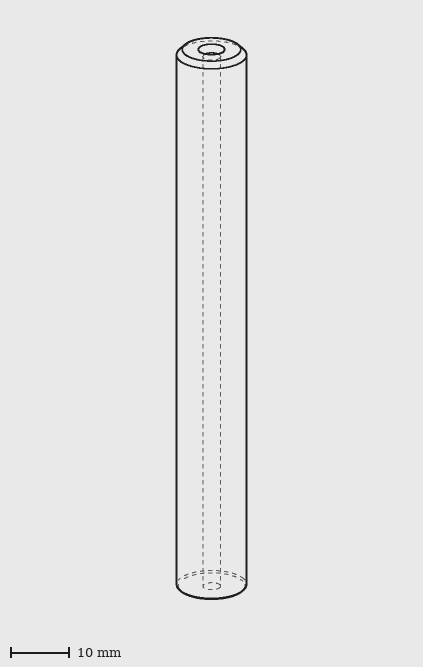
import cadquery as cq

length = 100.0
diameter = 12.0

top_chamfer = 1.0
bottom_chamfer = 0.3

bore_diameter = 3.0
mouth_diameter = 4.5
mouth_angle = 60.0


def make_rod():
    """Cylinder standing on the XY plane, chamfered at both ends."""
    rod = cq.Workplane("XY").circle(diameter / 2).extrude(length)
    rod = rod.faces(">Z").chamfer(top_chamfer)
    return rod.faces("<Z").chamfer(bottom_chamfer)


def cut_axial_hole(rod):
    """Countersunk through hole along the axis, entered from the top face."""
    return rod.faces(">Z").workplane().cskHole(bore_diameter, mouth_diameter, mouth_angle)


result = cut_axial_hole(make_rod())